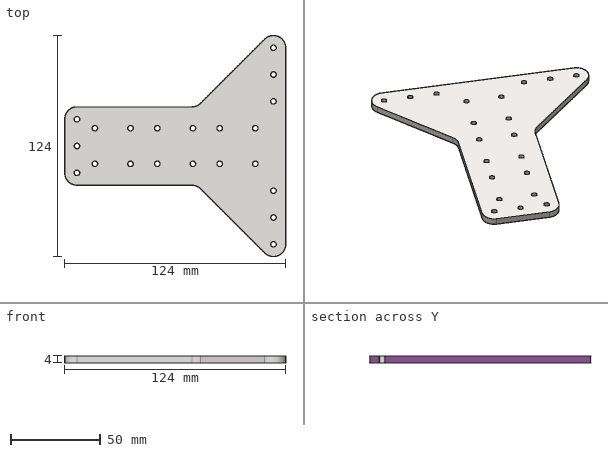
import cadquery as cq
import math

length = 124.0
span = 124.0
thickness = 4.0
stem_width = 44.0
corner_radius = 7.0

hole_diameter = 3.0
edge_hole_pitch = 15.0
holes_per_group = 3
pair_spacing = 20.0
first_pair_inset = 17.0
narrow_pitch = 15.0
wide_pitch = 20.0

half_length = length / 2
half_span = span / 2
half_stem = stem_width / 2
corner_center_x = half_length - corner_radius
corner_center_y = half_span - corner_radius

flank_offset = corner_center_y - corner_center_x + corner_radius * math.sqrt(2)
neck_x = half_stem - flank_offset
wing_corner_y = half_length + flank_offset


def make_plate():
    """T-shaped plate with flared wings and every corner rounded."""
    outline = [
        (-half_length, -half_stem),
        (neck_x, -half_stem),
        (half_length, -wing_corner_y),
        (half_length, wing_corner_y),
        (neck_x, half_stem),
        (-half_length, half_stem),
    ]
    plate = cq.Workplane("XY").polyline(outline).close().extrude(thickness)
    return plate.edges("|Z").fillet(corner_radius)


def stem_end_holes():
    """Centred row along the narrow end of the stem."""
    middle = (holes_per_group - 1) / 2
    return [(-corner_center_x, (i - middle) * edge_hole_pitch) for i in range(holes_per_group)]


def wing_holes():
    """A row running inward from each wing tip."""
    return [
        (corner_center_x, side * (corner_center_y - i * edge_hole_pitch))
        for side in (-1, 1)
        for i in range(holes_per_group)
    ]


def paired_holes():
    """Two rows along the stem, with alternating wide and narrow gaps."""
    points = []
    x = -half_length + first_pair_inset
    for gap in (wide_pitch, narrow_pitch, wide_pitch, narrow_pitch, wide_pitch, 0):
        points += [(x, -pair_spacing / 2), (x, pair_spacing / 2)]
        x += gap
    return points


hole_points = stem_end_holes() + wing_holes() + paired_holes()
hole_cutters = cq.Workplane("XY").pushPoints(hole_points).circle(hole_diameter / 2).extrude(thickness)
result = make_plate().cut(hole_cutters)